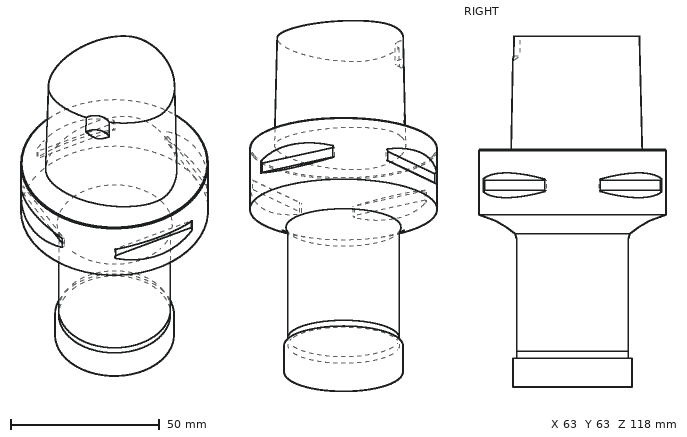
import cadquery as cq
import math

total_height = 118.0
flange_top = 79.9
flange_bottom = 57.9
joint_height = 12.2
cap_ring_height = 9.8

flange_radius = 63.0 / 2
shank_radius = 37.6 / 2
cap_radius = 20.1
flange_edge_chamfer = 0.4
cap_edge_fillet = 0.4

flare_step = 2.1
flare_radii = [25.7, 22.2, 19.4]
flare_lead_height = 1.7

lobe_radius_base = 22.1
lobe_height_base = 1.4
lobe_radius_top = 21.2
lobe_height_top = 1.3
flat_half_angle = 24.0
curve_steps = 8

notch_radius = 5.1
notch_inner_y = -17.7
notch_depth = 6.6
notch_tip_angle = 35.0

groove_count = 4
groove_height = 67.8
groove_floor_distance = 27.1
groove_floor_half_width = 1.7
groove_wall_angle = 30.0
groove_half_length = 14.6


def turned(points):
    """Revolve a closed (radius, height) outline about Z."""
    return cq.Workplane("XZ").polyline(points).close().revolve(360, (0, 0, 0), (0, 1, 0))


def lobed_point(mean_radius, lobe, angle, height):
    """Point of a constant-width curve with support distance mean_radius + lobe * cos(3a)."""
    turn = math.radians(angle)
    support = mean_radius + lobe * math.cos(3 * turn)
    shift = -3 * lobe * math.sin(3 * turn)
    across = support * math.sin(turn) + shift * math.cos(turn)
    along = support * math.cos(turn) - shift * math.sin(turn)
    return cq.Vector(across, along, height)


def lobed_outline(mean_radius, lobe, height):
    """Closed wire of three corner curves and three flat curves; angles run from +Y."""
    corner_half_angle = 60 - flat_half_angle
    curves = []
    for corner in (0, 120, 240):
        spans = [
            (corner - corner_half_angle, corner + corner_half_angle),
            (corner + corner_half_angle, corner + 120 - corner_half_angle),
        ]
        for start, end in spans:
            step = (end - start) / curve_steps
            points = [
                lobed_point(mean_radius, lobe, start + i * step, height)
                for i in range(curve_steps + 1)
            ]
            curves.append(cq.Edge.makeSpline(points))
    return cq.Wire.assembleEdges(curves)


def make_lobed_taper():
    base = lobed_outline(lobe_radius_base, lobe_height_base, flange_top)
    top = lobed_outline(lobe_radius_top, lobe_height_top, total_height)
    return cq.Workplane(obj=cq.Solid.makeLoft([base, top], True))


def make_notch_cutter():
    """Drill with a conical point, centred outside the flat."""
    drill_floor = total_height - notch_depth
    tip = drill_floor - notch_radius * math.tan(math.radians(notch_tip_angle))
    drill = turned([(0, tip), (notch_radius, drill_floor), (notch_radius, total_height), (0, total_height)])
    return drill.translate((0, notch_inner_y - notch_radius, 0))


def make_groove_cutter():
    """Trapezoidal groove facing +X, widening outward and square at both ends."""
    outside = flange_radius + 1.2
    flare = (outside - groove_floor_distance) * math.tan(math.radians(groove_wall_angle))
    mouth_half_width = groove_floor_half_width + flare
    return (
        cq.Workplane("XZ")
        .polyline([
            (groove_floor_distance, groove_height - groove_floor_half_width),
            (outside, groove_height - mouth_half_width),
            (outside, groove_height + mouth_half_width),
            (groove_floor_distance, groove_height + groove_floor_half_width),
        ])
        .close()
        .extrude(groove_half_length, both=True)
    )


def make_holder():
    flare = [
        (radius, flange_bottom - (i + 1) * flare_step)
        for i, radius in enumerate(flare_radii)
    ]
    shank_top = flare[-1][1] - flare_lead_height
    body = turned([
        (0, joint_height),
        (shank_radius, joint_height),
        (shank_radius, shank_top),
        *reversed(flare),
        (flange_radius, flange_bottom),
        (flange_radius, flange_top),
        (0, flange_top),
    ])
    body = body.faces(">Z").edges().chamfer(flange_edge_chamfer)
    body = body.union(make_lobed_taper()).cut(make_notch_cutter())
    groove = make_groove_cutter()
    for i in range(groove_count):
        angle = (i + 0.5) * 360 / groove_count
        body = body.cut(groove.rotate((0, 0, 0), (0, 0, 1), angle))
    return body


def make_end_cap():
    """Wide ring with a short neck that continues the holder's shank."""
    ring = cq.Workplane("XY").circle(cap_radius).extrude(cap_ring_height)
    ring = ring.edges().fillet(cap_edge_fillet)
    neck = cq.Workplane("XY").circle(shank_radius).extrude(joint_height)
    return ring.union(neck)


holder = make_holder()
end_cap = make_end_cap()
result = cq.Compound.makeCompound([holder.val(), end_cap.val()])